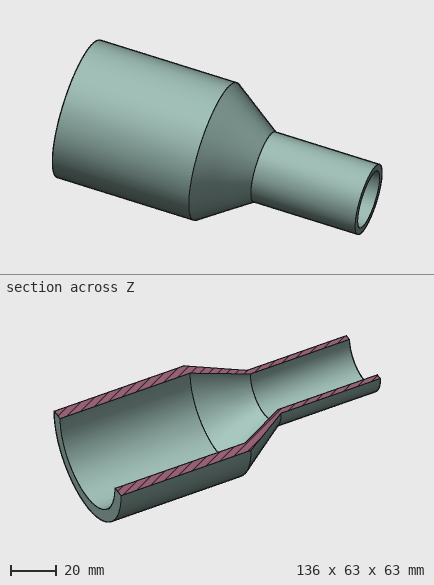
import cadquery as cq

total_length = 136.0
wide_length = 64.0
cone_length = 23.0
wide_outer_diameter = 63.0
wide_bore_diameter = 51.4
narrow_outer_diameter = 32.1
narrow_bore_diameter = 26.0

cone_end = wide_length + cone_length


def stepped_solid(wide_diameter, narrow_diameter):
    """Solid of revolution about X: wide cylinder, cone, narrow cylinder."""
    wide_radius = wide_diameter / 2
    narrow_radius = narrow_diameter / 2
    return (
        cq.Workplane("XY")
        .moveTo(0, 0)
        .lineTo(0, wide_radius)
        .lineTo(wide_length, wide_radius)
        .lineTo(cone_end, narrow_radius)
        .lineTo(total_length, narrow_radius)
        .lineTo(total_length, 0)
        .close()
        .revolve(360, (0, 0, 0), (1, 0, 0))
    )


body = stepped_solid(wide_outer_diameter, narrow_outer_diameter)
bore = stepped_solid(wide_bore_diameter, narrow_bore_diameter)
result = body.cut(bore)